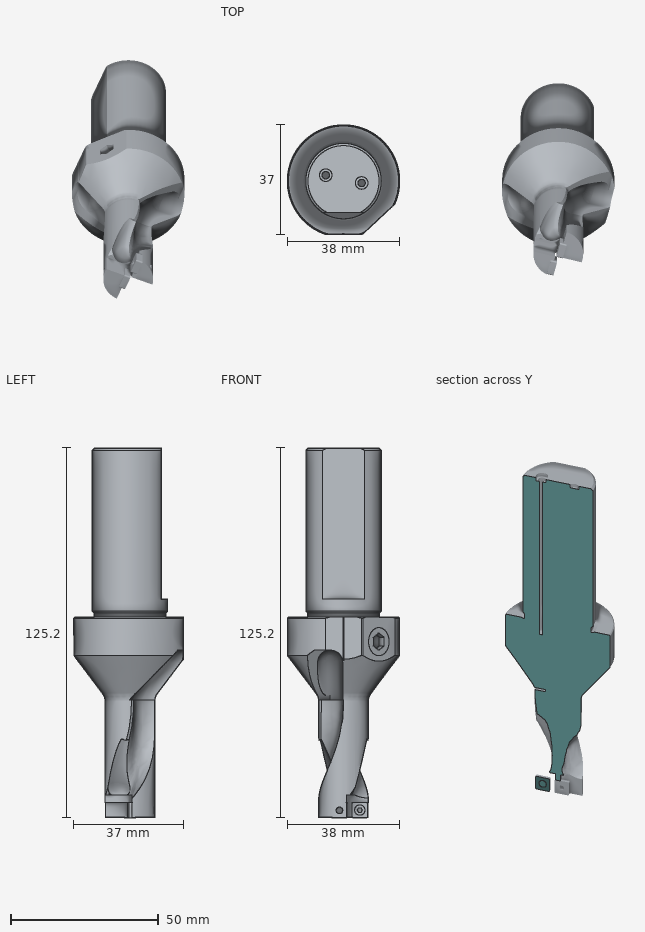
import cadquery as cq
import math


front_angle = -90
half_turn = 180

overall_length = 125.2
shank_radius = 12.8
shank_bottom = 70.1
shank_chamfer = 0.8
shank_flat_offset = 10.6
shank_flat_bottom = 74.1
undercut_radius = 12.1
undercut_taper = 0.8
undercut_recess = 0.4
undercut_rim_radius = 13.4

flange_radius = 19.0
flange_top = 68.0
flange_bottom = 55.1
flange_chamfer = 0.4
flange_flat_offset = 18.0
plug_flat_offset = 17.5
plug_flat_angle = -47.0
mark_width = 0.4
mark_depth = 0.3
ring_tolerance = 0.1

drill_diameter = 16.9
drill_radius = drill_diameter / 2
drill_bottom = 0.3
cone_bottom = 41.1
neck_fillet = 3.8
flute_top = 40.1
flute_bottom = 6.9
flute_twist = 84.0
flute_twist_power = 2.2
flute_wall_offset = 0.0
flute_wall_foot = 4.1
flute_floor_offset = 1.3
flute_floor_end = 7.5
flute_flare_slope = 0.8
flute_reach = 15.0
flute_sections = 9
flare_floor_offset = -0.1
flare_slope = 0.98
runout_radius = 4.3
runout_x = -4.5
runout_centre_height = 52.6
runout_floor_offset = 0.5
runout_slope = 0.54
runout_fillet = 3.1
flute_end_radius = 4.1
flute_end_bottom = cq.Vector(-4.5, 3.4, 10.0)
flute_end_top = cq.Vector(-11.3, 1.3, 25.0)

gullet_wall_offset = 1.0
gullet_floor_offset = 0.8
gullet_top = 7.8

coolant_centres = [(-6.0, 2.0), (6.1, -0.6)]
coolant_mouth_radius = 2.1
coolant_mouth_depth = 1.3
coolant_radius = 1.3
coolant_bottom = 62.6

plug_radius = 4.8
plug_length = 5.0
plug_height = 59.7
plug_socket_corners = 5.8
plug_socket_depth = 2.5

insert_size = 5.3
insert_thickness = 2.3
insert_face_offset = 0.4
insert_corner_radius = 0.5
outer_insert_x = 5.5
inner_insert_x = 1.4
outer_insert_bottom = 0.1
inner_insert_bottom = 0.0
outer_turn = 0
inner_turn = half_turn
screw_head_radius = 1.8
screw_shank_radius = 1.1
screw_head_height = 1.0
screw_length = 6.3
inner_screw_bore = 10.0
screw_socket_corners = 1.8
screw_socket_depth = 0.6


def ring_at(height):
    """Selector for the circular edges centred on the drill axis at a height."""
    low = (-ring_tolerance, -ring_tolerance, height - ring_tolerance)
    high = (ring_tolerance, ring_tolerance, height + ring_tolerance)
    return cq.selectors.BoxSelector(low, high)


def make_blank():
    """Turned body: drill, cone, flange, undercut and shank."""
    profile = (
        cq.Workplane("XZ")
        .moveTo(0, drill_bottom)
        .lineTo(drill_radius, drill_bottom)
        .lineTo(drill_radius, cone_bottom)
        .lineTo(flange_radius, flange_bottom)
        .lineTo(flange_radius, flange_top)
        .lineTo(undercut_rim_radius, flange_top)
        .lineTo(undercut_radius, flange_top - undercut_recess)
        .lineTo(undercut_radius, shank_bottom - undercut_taper)
        .lineTo(shank_radius, shank_bottom)
        .lineTo(shank_radius, overall_length)
        .lineTo(0, overall_length)
        .close()
    )
    blank = profile.revolve(360, (0, 0), (0, 1))
    blank = blank.faces(">Z").edges().chamfer(shank_chamfer)
    flange_rim = blank.edges(ring_at(flange_top)).edges(cq.selectors.RadiusNthSelector(-1))
    blank = flange_rim.chamfer(flange_chamfer)
    return blank.edges(ring_at(cone_bottom)).fillet(neck_fillet)


def flat_cutter(offset, angle, bottom, top):
    """Block that cuts a flat whose outward normal points at the angle in the XY plane."""
    depth = flange_radius
    block = cq.Workplane("XY").box(
        depth, 3 * flange_radius, top - bottom, centered=(False, True, False)
    )
    return turned(block.translate((offset, 0, bottom)), angle)


def mark_cutter():
    """Narrow index groove along the middle of the flange flat."""
    groove = cq.Workplane("XY").box(
        mark_width, 2 * mark_depth, flange_top - cone_bottom, centered=(True, True, False)
    )
    return groove.translate((0, -flange_flat_offset, cone_bottom))


def flute_outline(height, angle):
    """Flute section: a flat wall, a curved floor and a flared edge, turned about the drill axis."""
    flare_rise = flute_flare_slope * (flute_reach - flute_floor_end)
    outline = (
        cq.Workplane("XY")
        .moveTo(-flute_wall_offset, -flute_reach)
        .lineTo(-flute_wall_offset, -flute_wall_foot)
        .spline(
            [(-flute_floor_end, -flute_floor_offset)],
            tangents=[(0, 1), (-1, 0)],
            includeCurrent=True,
        )
        .lineTo(-flute_reach, flare_rise - flute_floor_offset)
        .lineTo(-flute_reach, -flute_reach)
        .close()
    )
    wire = outline.val()
    return wire.translate(cq.Vector(0, 0, height)).rotate(
        cq.Vector(0, 0, 0), cq.Vector(0, 0, 1), angle
    )


def flute_cutter():
    """Flute whose twist grows with a power of the distance from its top."""
    sections = []
    for index in range(flute_sections):
        fraction = index / (flute_sections - 1)
        height = flute_top + fraction * (flute_bottom - flute_top)
        sections.append(flute_outline(height, -flute_twist * fraction**flute_twist_power))
    return cq.Workplane(cq.Solid.makeLoft(sections))


def sloped_block(floor_offset, slope, inner_x, outer_x):
    """Space on the -Y side of a floor that slopes outward as it rises from the flute top."""
    block_top = runout_centre_height + runout_radius
    rise = block_top - flute_top
    block = (
        cq.Workplane("YZ", origin=(inner_x, 0, 0))
        .moveTo(-floor_offset, flute_top)
        .lineTo(-floor_offset - slope * rise, block_top)
        .lineTo(-2 * flange_radius, block_top)
        .lineTo(-2 * flange_radius, flute_top)
        .close()
    )
    return block.extrude(outer_x - inner_x)


def flare_cutter():
    """Flat-floored opening that carries the flute edge outward through the cone."""
    return sloped_block(flare_floor_offset, flare_slope, runout_x, -flange_radius)


def runout_cutter():
    """Round-ended channel that carries the flute up into the flange."""
    left = runout_x - runout_radius
    right = runout_x + runout_radius
    outline = (
        cq.Workplane("XZ")
        .moveTo(left, flute_top)
        .lineTo(left, runout_centre_height)
        .threePointArc(
            (runout_x, runout_centre_height + runout_radius), (right, runout_centre_height)
        )
        .lineTo(right, flute_top)
        .close()
        .extrude(2 * flange_radius)
    )
    channel = outline.intersect(sloped_block(runout_floor_offset, runout_slope, left, right))
    return channel.faces(">Y").edges("not <Z").fillet(runout_fillet)


def flute_end_cutter():
    """Ball-ended groove that opens the flute out above the gullet."""
    axis = flute_end_top - flute_end_bottom
    groove = cq.Workplane(cq.Plane(origin=flute_end_bottom.toTuple(), normal=axis.toTuple()))
    groove = groove.circle(flute_end_radius).extrude(axis.Length)
    ball = cq.Workplane("XY").sphere(flute_end_radius).translate(flute_end_bottom)
    return groove.union(ball)


def gullet_cutter():
    """Straight chip space in front of an insert."""
    gullet = cq.Workplane("XY").box(flute_reach, flute_reach, gullet_top, centered=False)
    return gullet.translate((gullet_wall_offset, gullet_floor_offset - flute_reach, 0))


def coolant_cutter(centre):
    mouth = (
        cq.Workplane("XY", origin=(*centre, overall_length))
        .circle(coolant_mouth_radius)
        .extrude(-coolant_mouth_depth)
    )
    bore = (
        cq.Workplane("XY", origin=(*centre, overall_length))
        .circle(coolant_radius)
        .extrude(coolant_bottom - overall_length)
    )
    return mouth.union(bore)


def turned(shape, angle):
    """Turn a shape about the drill axis."""
    return shape.rotate((0, 0, 0), (0, 0, 1), angle)


def plug_plane():
    angle = math.radians(plug_flat_angle)
    normal = (math.cos(angle), math.sin(angle), 0)
    origin = (plug_flat_offset * normal[0], plug_flat_offset * normal[1], plug_height)
    return cq.Plane(origin=origin, xDir=(0, 0, 1), normal=normal)


def plug_space():
    return cq.Workplane(plug_plane()).circle(plug_radius).extrude(-plug_length)


def make_plug():
    """Screw plug with a hexagon socket, flush with its flat."""
    socket = (
        cq.Workplane(plug_plane()).polygon(6, plug_socket_corners).extrude(-plug_socket_depth)
    )
    return plug_space().cut(socket)


def screw_space(x, bottom, length):
    """Countersunk screw shape along +Y, its head flush with the insert face."""
    height = bottom + insert_size / 2
    profile = (
        cq.Workplane("XY")
        .moveTo(0, 0)
        .lineTo(screw_head_radius, 0)
        .lineTo(screw_shank_radius, screw_head_height)
        .lineTo(screw_shank_radius, length)
        .lineTo(0, length)
        .close()
    )
    screw = profile.revolve(360, (0, 0), (0, 1))
    return screw.translate((x, -insert_face_offset, height))


def make_screw(x, bottom):
    height = bottom + insert_size / 2
    socket = (
        cq.Workplane("XZ", origin=(x, -insert_face_offset, height))
        .polygon(6, screw_socket_corners)
        .extrude(-screw_socket_depth)
    )
    return screw_space(x, bottom, screw_length).cut(socket)


def make_insert(x, bottom):
    """Square insert facing -Y, with a countersunk hole for its screw."""
    insert = cq.Workplane("XY").box(
        insert_size, insert_thickness, insert_size, centered=(True, False, False)
    )
    insert = insert.edges("|Y").fillet(insert_corner_radius)
    insert = insert.translate((x, -insert_face_offset, bottom))
    return insert.cut(screw_space(x, bottom, screw_length))


def seat_cutter(x, bottom, side_reach):
    """Insert seat, open at the tip and toward -Y, running past the insert by the side reach."""
    seat = cq.Workplane("XY").box(
        insert_size + side_reach,
        insert_thickness + flute_reach,
        bottom + insert_size,
        centered=False,
    )
    seat_floor = insert_thickness - insert_face_offset
    return seat.translate((x - insert_size / 2, seat_floor - insert_thickness - flute_reach, 0))


def make_holder():
    holder = make_blank()
    holder = holder.cut(flat_cutter(shank_flat_offset, front_angle, shank_flat_bottom, overall_length))
    holder = holder.cut(flat_cutter(flange_flat_offset, front_angle, cone_bottom, flange_top))
    holder = holder.cut(flat_cutter(plug_flat_offset, plug_flat_angle, cone_bottom, flange_top))
    holder = holder.cut(mark_cutter())
    chip_spaces = [
        flute_cutter(),
        flare_cutter(),
        runout_cutter(),
        flute_end_cutter(),
        gullet_cutter(),
    ]
    for cutter in chip_spaces:
        holder = holder.cut(cutter)
        holder = holder.cut(turned(cutter, half_turn))
    for centre in coolant_centres:
        holder = holder.cut(coolant_cutter(centre))
    holder = holder.cut(plug_space())
    outer_seat = seat_cutter(outer_insert_x, outer_insert_bottom, drill_radius)
    outer_bore = screw_space(outer_insert_x, outer_insert_bottom, screw_length)
    inner_seat = seat_cutter(inner_insert_x, inner_insert_bottom, 0)
    inner_bore = screw_space(inner_insert_x, inner_insert_bottom, inner_screw_bore)
    for cutter in (outer_seat, outer_bore):
        holder = holder.cut(turned(cutter, outer_turn))
    for cutter in (inner_seat, inner_bore):
        holder = holder.cut(turned(cutter, inner_turn))
    return holder


holder = make_holder()
plug = make_plug()

insert_places = [
    (outer_insert_x, outer_insert_bottom, outer_turn),
    (inner_insert_x, inner_insert_bottom, inner_turn),
]
inserts = []
screws = []
for x, bottom, turn in insert_places:
    inserts.append(turned(make_insert(x, bottom), turn))
    screws.append(turned(make_screw(x, bottom), turn))

result = cq.Compound.makeCompound(
    [
        holder.val(),
        plug.val(),
        *[insert.val() for insert in inserts],
        *[screw.val() for screw in screws],
    ]
)